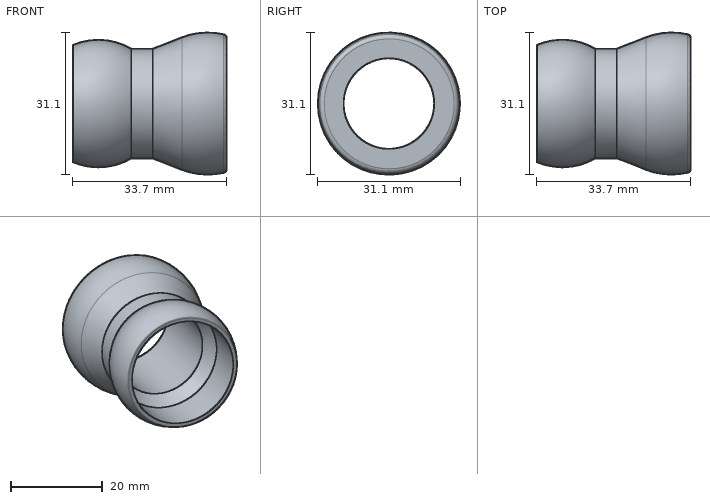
import cadquery as cq
import math

length = 33.65

small_ball_x = 5.6
small_ball_radius = 13.97
neck_radius = 12.0
neck_end_x = 17.5
large_ball_x = 29.45
large_ball_radius = 15.55

small_end_fillet = 0.2
large_end_fillet = 1.0

socket_radius = 11.88
socket_depth = 9.85
bore_radius = 9.85
taper_end_x = 13.13


def ball_height(center_x, ball_radius, x):
    """Distance from the axis to a ball's surface at position x."""
    return math.sqrt(ball_radius**2 - (x - center_x)**2)


def cone_tangent_point():
    """Point where the cone from the neck edge touches the large ball."""
    run = large_ball_x - neck_end_x
    distance = math.hypot(run, neck_radius)
    angle_to_neck = math.atan2(neck_radius, run)
    angle_to_tangent = angle_to_neck + math.acos(large_ball_radius / distance)
    return (
        large_ball_x - large_ball_radius * math.cos(angle_to_tangent),
        large_ball_radius * math.sin(angle_to_tangent),
    )


def make_outside():
    neck_start_x = small_ball_x + math.sqrt(small_ball_radius**2 - neck_radius**2)
    profile = (
        cq.Workplane("XY")
        .lineTo(0, ball_height(small_ball_x, small_ball_radius, 0))
        .threePointArc((small_ball_x, small_ball_radius), (neck_start_x, neck_radius))
        .lineTo(neck_end_x, neck_radius)
        .lineTo(*cone_tangent_point())
        .threePointArc(
            (large_ball_x, large_ball_radius),
            (length, ball_height(large_ball_x, large_ball_radius, length)),
        )
        .lineTo(length, 0)
        .close()
    )
    solid = profile.revolve(360, (0, 0, 0), (1, 0, 0))
    solid = solid.faces("<X").edges().fillet(small_end_fillet)
    return solid.faces(">X").edges().fillet(large_end_fillet)


def make_inside():
    profile = (
        cq.Workplane("XY")
        .lineTo(0, socket_radius)
        .lineTo(socket_depth, socket_radius)
        .lineTo(taper_end_x, bore_radius)
        .lineTo(length, bore_radius)
        .lineTo(length, 0)
        .close()
    )
    return profile.revolve(360, (0, 0, 0), (1, 0, 0))


result = make_outside().cut(make_inside())